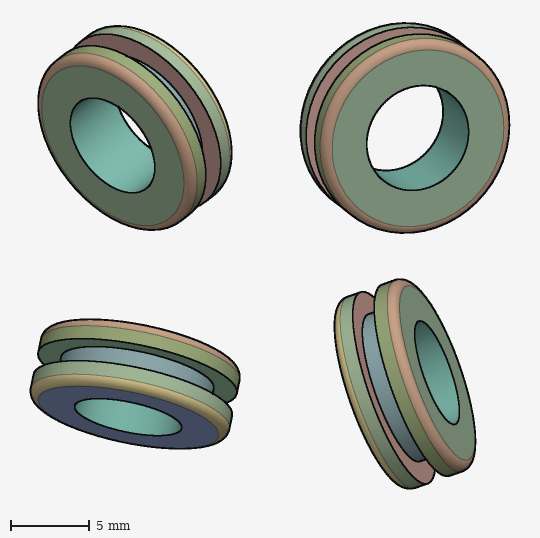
import cadquery as cq

flange_diameter = 13.0
groove_diameter = 10.0
bore_diameter = 7.0
flange_thickness = 1.5
groove_width = 1.5
rim_radius = 0.6

total_width = 2 * flange_thickness + groove_width


def disc(diameter, start_y, width):
    """Cylinder along Y, from start_y to start_y + width."""
    return (
        cq.Workplane("XZ", origin=(0, start_y, 0))
        .circle(diameter / 2)
        .extrude(-width)
    )


def flange(start_y, outer_face):
    """Flange disc with the rim of its outward-facing side rounded."""
    return disc(flange_diameter, start_y, flange_thickness).faces(outer_face).edges().fillet(rim_radius)


hub = disc(groove_diameter, -total_width / 2, total_width)
front_flange = flange(-total_width / 2, "<Y")
back_flange = flange(groove_width / 2, ">Y")
bore = disc(bore_diameter, -total_width / 2, total_width)

result = hub.union(front_flange).union(back_flange).cut(bore)